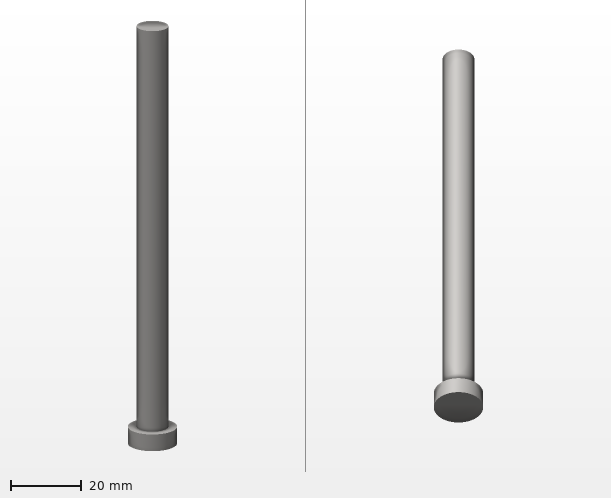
import cadquery as cq

total_length = 125.0
head_diameter = 14.0
head_height = 5.0
shank_diameter = 9.0


def make_head():
    """Flat cylindrical head, resting on the XY plane."""
    return cq.Workplane("XY").circle(head_diameter / 2).extrude(head_height)


def make_shank():
    """Plain cylindrical shank running from the base of the head to the tip."""
    return cq.Workplane("XY").circle(shank_diameter / 2).extrude(total_length)


result = make_head().union(make_shank())